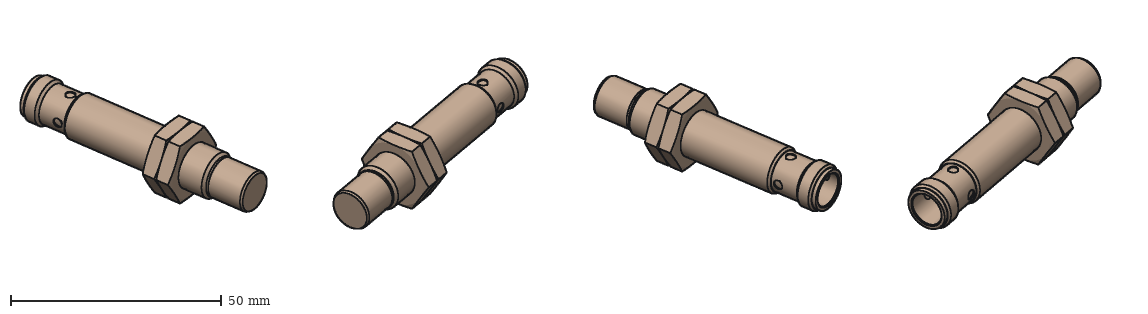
import cadquery as cq
import math

LENGTH = 65.1
BARREL_DIA = 12.0
NECK_DIA = 10.6
SHOULDER_DIA = 10.95
BEAD_DIA = NECK_DIA
TIP_DIA = 10.5
NOSE_END = 1.1
COLLAR_START = 1.7
COLLAR_END = 4.75
NECK_START = 5.55
NECK_END = 13.0
BARREL_START = 13.7
BARREL_END = 53.8
BEAD_START = 54.6
BEAD_END = 55.2
TIP_CHAMFER_LENGTH = 0.6
TIP_CHAMFER_DROP = 0.3

SOCKET_DIA = 8.4
SOCKET_DEPTH = 9.75
SOCKET_CHAMFER = 0.25
KEY_RADIUS = 0.8
KEY_HEIGHT = 3.85

WINDOW_DIA = 2.5
WINDOW_X = 11.0
WINDOW_COUNT = 4
WINDOW_DEPTH = 0.3
WINDOW_FLOOR_DIA = NECK_DIA - 2 * WINDOW_DEPTH

NUT_FLATS = 17.0
NUT_CORNERS = NUT_FLATS / math.cos(math.pi / 6)
NUT_WIDTH = 4.05
NUT_COUNT = 2
NUT_START = 38.9
NUT_CHAMFER = 0.3


def cylinder(diameter, start, length):
    """Solid cylinder on the X axis."""
    return cq.Workplane("YZ", origin=(start, 0, 0)).circle(diameter / 2).extrude(length)


def make_barrel_blank():
    """Stepped outside of the barrel, turned about the X axis."""
    barrel_r = BARREL_DIA / 2
    neck_r = NECK_DIA / 2
    shoulder_r = SHOULDER_DIA / 2
    bead_r = BEAD_DIA / 2
    tip_r = TIP_DIA / 2
    profile = [
        (0, 0),
        (0, neck_r),
        (NOSE_END, neck_r),
        (NOSE_END, shoulder_r),
        (COLLAR_START, barrel_r),
        (COLLAR_END, barrel_r),
        (NECK_START, neck_r),
        (NECK_END, neck_r),
        (NECK_END, shoulder_r),
        (BARREL_START, barrel_r),
        (BARREL_END, barrel_r),
        (BEAD_START, bead_r),
        (BEAD_END, bead_r),
        (BEAD_END, tip_r),
        (LENGTH - TIP_CHAMFER_LENGTH, tip_r),
        (LENGTH, tip_r - TIP_CHAMFER_DROP),
        (LENGTH, 0),
    ]
    return cq.Workplane("XY").polyline(profile).close().revolve(360, (0, 0, 0), (1, 0, 0))


def make_socket():
    """Blind socket volume with a chamfered mouth, less the key on its upper wall."""
    bore = cylinder(SOCKET_DIA, 0, SOCKET_DEPTH)
    key = (
        cq.Workplane("YZ", origin=(SOCKET_CHAMFER, 0, KEY_HEIGHT))
        .circle(KEY_RADIUS)
        .extrude(SOCKET_DEPTH)
    )
    mouth = cq.Workplane("XY").add(
        cq.Solid.makeCone(
            SOCKET_DIA / 2 + SOCKET_CHAMFER,
            SOCKET_DIA / 2,
            SOCKET_CHAMFER,
            pnt=cq.Vector(0, 0, 0),
            dir=cq.Vector(1, 0, 0),
        )
    )
    return bore.cut(key).union(mouth)


def make_window(angle):
    """Recess volume of one neck window, with a floor concentric with the barrel."""
    drill = cq.Workplane("XY").center(WINDOW_X, 0).circle(WINDOW_DIA / 2).extrude(BARREL_DIA / 2)
    core = cylinder(WINDOW_FLOOR_DIA, NECK_START, NECK_END - NECK_START)
    return drill.cut(core).rotate((0, 0, 0), (1, 0, 0), angle)


def make_barrel():
    barrel = make_barrel_blank().cut(make_socket())
    for i in range(WINDOW_COUNT):
        barrel = barrel.cut(make_window(i * 360 / WINDOW_COUNT))
    return barrel


def make_nut(start):
    """Hexagonal nut with corners along Y, chamfered on both faces."""
    face_r = NUT_FLATS / 2
    corner_r = NUT_CORNERS / 2
    hexagon = cq.Workplane("YZ").polygon(6, NUT_CORNERS).extrude(NUT_WIDTH)
    chamfer_profile = [
        (0, 0),
        (0, face_r),
        (NUT_CHAMFER, corner_r),
        (NUT_WIDTH - NUT_CHAMFER, corner_r),
        (NUT_WIDTH, face_r),
        (NUT_WIDTH, 0),
    ]
    envelope = cq.Workplane("XY").polyline(chamfer_profile).close().revolve(360, (0, 0, 0), (1, 0, 0))
    bore = cylinder(BARREL_DIA, 0, NUT_WIDTH)
    return hexagon.intersect(envelope).cut(bore).translate((start, 0, 0))


barrel = make_barrel()
nuts = [make_nut(NUT_START + i * NUT_WIDTH) for i in range(NUT_COUNT)]

result = cq.Compound.makeCompound([barrel.solids().val(), *[nut.solids().val() for nut in nuts]])